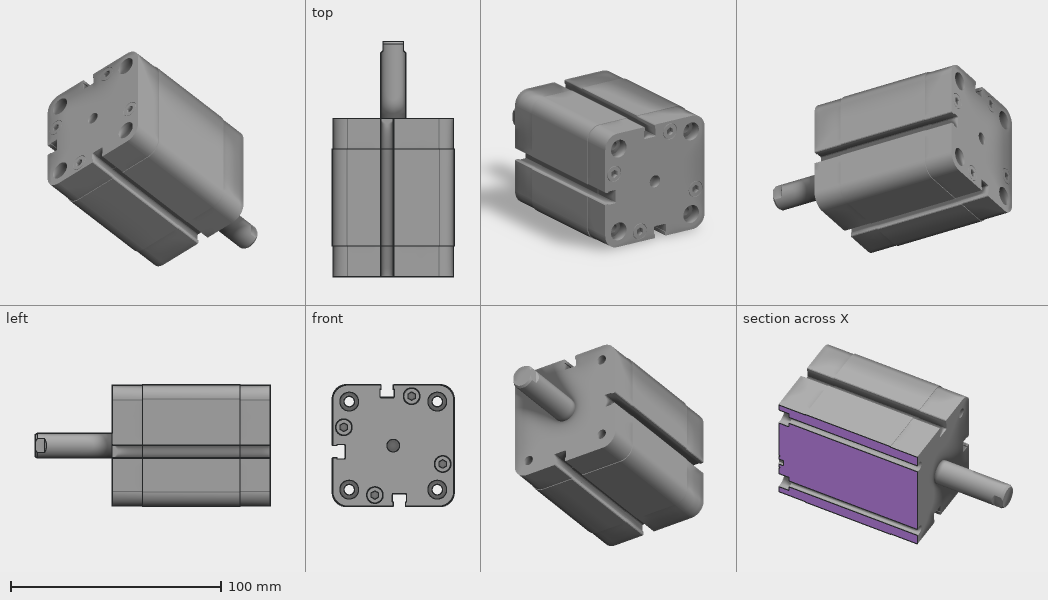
import cadquery as cq

overall_length = 112.0
body_length = 75.4
cap_length = 14.6
tube_width = 58.1
cap_inset = 0.3
corner_radius = 7.0

slot_mouth_width = 5.7
slot_inner_width = 6.7
slot_lip_depth = 2.0
slot_depth = 6.0
slot_offset = 2.9
slot_edge_break = 0.3
slot_angles = (0, 90, 180)

mount_offset = 21.0
mount_diameter = 4.9
counterbore_diameter = 9.0
counterbore_depth = 5.5

screw_near_offset = 8.7
screw_far_offset = 23.5
screw_recess_diameter = 8.0
screw_head_diameter = 7.5
screw_gap_depth = 1.0
hex_corner_diameter = 4.0
hex_depth = 2.5

centre_hole_diameter = 6.0
centre_hole_depth = 6.7

rod_diameter = 12.0
rod_end_diameter = 10.4
rod_chamfer_length = 1.1
flat_width = 10.0
flat_length = 4.5
flat_runout = 1.0

rod_radius = rod_diameter / 2
front_y = -overall_length / 2
back_y = front_y + body_length
rod_end_y = front_y + overall_length
mount_points = [(x, z) for x in (-mount_offset, mount_offset) for z in (-mount_offset, mount_offset)]
screw_points = [
    (screw_near_offset, screw_far_offset),
    (-screw_far_offset, screw_near_offset),
    (-screw_near_offset, -screw_far_offset),
    (screw_far_offset, -screw_near_offset),
]


def xz_plane(y):
    """Sketch plane across the axis at position y: local x is X, local y is Z, extrusion goes to -Y."""
    return cq.Workplane("XZ", origin=(0, y, 0))


def slot_cutter(width, y_start, length):
    """Undercut slot along Y, opening to +Z through the top of a section of the given width."""
    top_z = width / 2
    lip_z = top_z - slot_lip_depth
    floor_z = top_z - slot_depth
    mouth_half = slot_mouth_width / 2
    inner_half = slot_inner_width / 2
    right_side = [
        (mouth_half + slot_edge_break, top_z),
        (mouth_half, top_z - slot_edge_break),
        (mouth_half, lip_z),
        (inner_half, lip_z),
        (inner_half, floor_z + slot_edge_break),
        (inner_half - slot_edge_break, floor_z),
    ]
    left_side = [(-x, z) for x, z in reversed(right_side)]
    cutter = xz_plane(y_start).polyline(right_side + left_side).close().extrude(-length)
    return cutter.translate((-slot_offset, 0, 0))


def body_section(inset, y_start, length):
    """Rounded square length of the body with its slots, inset from the tube outline."""
    width = tube_width - 2 * inset
    section = (
        xz_plane(y_start)
        .rect(width, width)
        .extrude(-length)
        .edges("|Y")
        .fillet(corner_radius)
    )
    slot = slot_cutter(width, y_start, length)
    for angle in slot_angles:
        section = section.cut(slot.rotate((0, 0, 0), (0, -1, 0), angle))
    return section


def piston_rod():
    """Round rod with a chamfered end and two flats that run out on a slope."""
    length = rod_end_y - back_y
    end_radius = rod_end_diameter / 2
    half_section = [
        (0, 0),
        (rod_radius, 0),
        (rod_radius, length - rod_chamfer_length),
        (end_radius, length),
        (0, length),
    ]
    rod = cq.Workplane("XY").polyline(half_section).close().revolve(360, (0, 0), (0, 1))
    flat = (
        cq.Workplane("XY")
        .polyline([
            (flat_width / 2, length),
            (flat_width / 2, length - flat_length),
            (rod_radius, length - flat_length - flat_runout),
            (rod_diameter, length - flat_length - flat_runout),
            (rod_diameter, length),
        ])
        .close()
        .extrude(rod_radius, both=True)
    )
    rod = rod.cut(flat).cut(flat.mirror("YZ"))
    return rod.translate((0, back_y, 0))


def cap_screw_cutter():
    """Thin gap around each flush screw head, plus its hexagon socket with corners at top and bottom."""
    heads = xz_plane(front_y).pushPoints(screw_points)
    gaps = (
        heads.circle(screw_recess_diameter / 2)
        .circle(screw_head_diameter / 2)
        .extrude(-screw_gap_depth)
    )
    socket = xz_plane(front_y).polygon(6, hex_corner_diameter).extrude(-hex_depth)
    socket = socket.rotate((0, 0, 0), (0, 1, 0), 90)
    for x, z in screw_points:
        gaps = gaps.add(socket.translate((x, 0, z)))
    return gaps.combine()


def front_holes(points, diameter, depth):
    """Round holes running in from the front face."""
    return xz_plane(front_y).pushPoints(points).circle(diameter / 2).extrude(-depth)


tube_length = body_length - 2 * cap_length
result = (
    body_section(cap_inset, front_y, cap_length)
    .union(body_section(0, front_y + cap_length, tube_length))
    .union(body_section(cap_inset, back_y - cap_length, cap_length))
    .union(piston_rod())
)

result = (
    result.cut(front_holes(mount_points, mount_diameter, body_length))
    .cut(front_holes(mount_points, counterbore_diameter, counterbore_depth))
    .cut(front_holes([(0, 0)], centre_hole_diameter, centre_hole_depth))
    .cut(cap_screw_cutter())
)